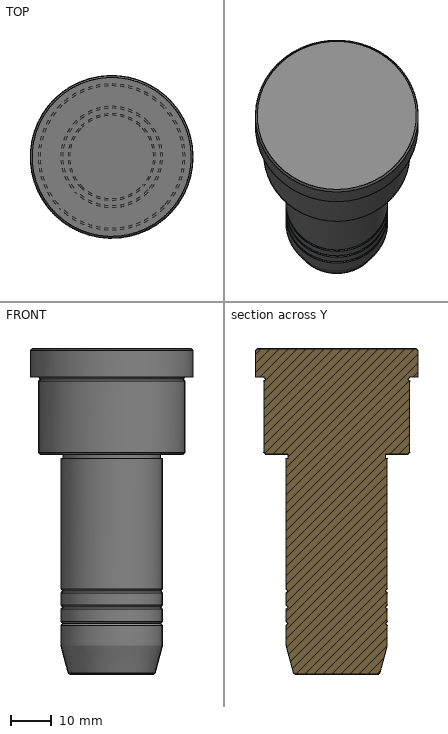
import cadquery as cq
import math

total_height = 80.0

flange_radius = 20.0
flange_thickness = 7.0
shoulder_radius = 18.0
shoulder_bottom = total_height - 26.0
edge_chamfer = 0.5

shank_radius = 12.5
neck_radius = 12.0
neck_height = 1.0

taper_height = 7.0
taper_angle = 15.0
tip_radius = shank_radius - taper_height * math.tan(math.radians(taper_angle))
tip_chamfer = 0.3

groove_depth = 0.5
groove_count = 3
groove_pitch = 4.0
lowest_groove_z = 12.5


def cylinder(radius, bottom, top):
    return cq.Workplane("XY").workplane(offset=bottom).circle(radius).extrude(top - bottom)


def ring_groove(surface_radius, z):
    """Ring that cuts a symmetric V groove into a cylinder of the given radius."""
    profile = [
        (surface_radius - groove_depth, z),
        (surface_radius, z + groove_depth),
        (surface_radius + groove_depth, z),
        (surface_radius, z - groove_depth),
    ]
    return cq.Workplane("XZ").polyline(profile).close().revolve(360, (0, 0), (0, 1))


flange_bottom = total_height - flange_thickness
flange = cylinder(flange_radius, flange_bottom, total_height).faces(">Z").chamfer(edge_chamfer)
shoulder = cylinder(shoulder_radius, shoulder_bottom, flange_bottom).faces("<Z").chamfer(edge_chamfer)
shoulder = shoulder.cut(ring_groove(shoulder_radius, flange_bottom - groove_depth))
neck_bottom = shoulder_bottom - neck_height
neck = cylinder(neck_radius, neck_bottom, shoulder_bottom)

shank = cylinder(shank_radius, taper_height, neck_bottom)
for index in range(groove_count):
    shank = shank.cut(ring_groove(shank_radius, lowest_groove_z + index * groove_pitch))

tip = cq.Workplane(cq.Solid.makeCone(tip_radius, shank_radius, taper_height))
tip = tip.faces("<Z").chamfer(tip_chamfer)

result = flange.union(shoulder).union(neck).union(shank).union(tip)